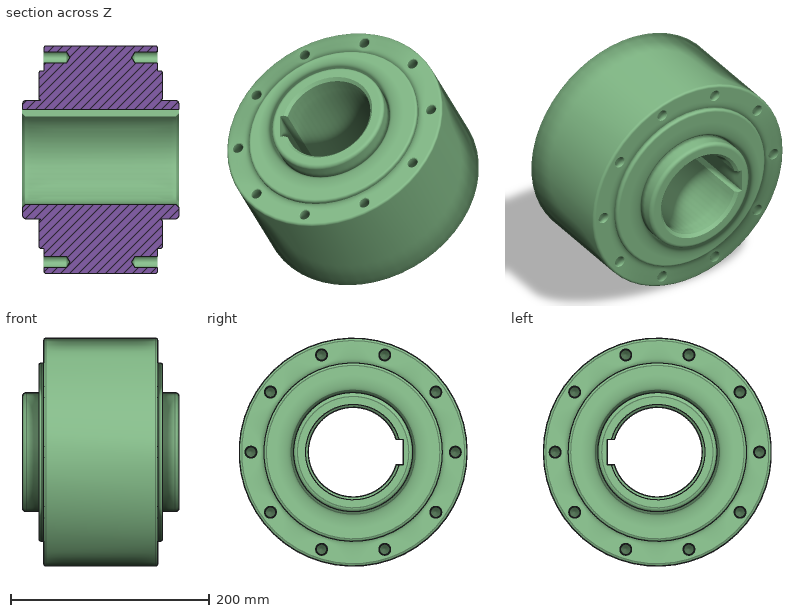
import cadquery as cq
import math

OUTER_RADIUS = 115.0
BODY_WIDTH = 115.0
COVER_RADIUS = 90.0
COVER_WIDTH = 125.0
HUB_RADIUS = 60.0
HUB_LENGTH = 158.0
RIM_FILLET = 2.5
HUB_FILLET = 4.0

RECESS_RADIUS = 2.5

BORE_RADIUS = 45.0
BORE_CHAMFER = 3.0
KEYWAY_WIDTH = 25.0
KEYWAY_REACH = 50.4

HOLE_COUNT = 10
HOLE_CIRCLE_RADIUS = 103.0
HOLE_RADIUS = 5.3
HOLE_CHAMFER = 0.7
HOLE_DEPTH = 23.0
DRILL_POINT_ANGLE = 118.0


def disc(radius, width, x_start):
    """Cylinder on the X axis, from x_start toward +X."""
    return cq.Workplane("YZ", origin=(x_start, 0, 0)).circle(radius).extrude(width)


def rounded_disc(radius, width, fillet):
    """Cylinder centred on the origin, with both rims rounded."""
    return disc(radius, width, -width / 2).edges("%CIRCLE").fillet(fillet)


def on_both_sides(solid):
    """The solid together with its mirror image across the YZ plane."""
    return solid.union(solid.mirror("YZ"))


def hub_recess():
    """Ring cut that rounds the +X cover face down into the hub, leaving a sharp crease."""
    face = COVER_WIDTH / 2
    arc_drop = RECESS_RADIUS * (1 - math.sqrt(0.5))
    section = (
        cq.Workplane("XY")
        .moveTo(face, HUB_RADIUS)
        .lineTo(face, HUB_RADIUS + RECESS_RADIUS)
        .threePointArc(
            (face - arc_drop, HUB_RADIUS + arc_drop),
            (face - RECESS_RADIUS, HUB_RADIUS),
        )
        .close()
    )
    return section.revolve(360, (0, 0, 0), (1, 0, 0))


def bore():
    """Through bore, chamfered at both ends."""
    through = disc(BORE_RADIUS, HUB_LENGTH, -HUB_LENGTH / 2)
    end = HUB_LENGTH / 2
    mouth = cq.Workplane("XY").polyline([
        (end - BORE_CHAMFER, 0),
        (end - BORE_CHAMFER, BORE_RADIUS),
        (end, BORE_RADIUS + BORE_CHAMFER),
        (end, 0),
    ]).close().revolve(360, (0, 0, 0), (1, 0, 0))
    return through.union(on_both_sides(mouth))


def keyway():
    """Rectangular slot along the whole bore, on its +Y side."""
    return cq.Workplane("XY").box(
        HUB_LENGTH, KEYWAY_REACH, KEYWAY_WIDTH, centered=(True, False, True)
    )


def drilled_hole():
    """Hole with a chamfered mouth and conical bottom, entering the +X body face on the +Y axis."""
    face = BODY_WIDTH / 2
    floor = face - HOLE_DEPTH
    tip = floor - HOLE_RADIUS / math.tan(math.radians(DRILL_POINT_ANGLE / 2))
    section = cq.Workplane("XY").polyline([
        (face, HOLE_CIRCLE_RADIUS),
        (face, HOLE_CIRCLE_RADIUS + HOLE_RADIUS + HOLE_CHAMFER),
        (face - HOLE_CHAMFER, HOLE_CIRCLE_RADIUS + HOLE_RADIUS),
        (floor, HOLE_CIRCLE_RADIUS + HOLE_RADIUS),
        (tip, HOLE_CIRCLE_RADIUS),
    ]).close()
    return section.revolve(360, (0, HOLE_CIRCLE_RADIUS, 0), (1, HOLE_CIRCLE_RADIUS, 0))


body = rounded_disc(OUTER_RADIUS, BODY_WIDTH, RIM_FILLET)
covers = rounded_disc(COVER_RADIUS, COVER_WIDTH, RIM_FILLET)
hub = rounded_disc(HUB_RADIUS, HUB_LENGTH, HUB_FILLET)

result = body.union(covers).cut(on_both_sides(hub_recess())).union(hub)
result = result.cut(bore()).cut(keyway())

for index in range(HOLE_COUNT):
    hole = drilled_hole().rotate((0, 0, 0), (1, 0, 0), index * 360 / HOLE_COUNT)
    result = result.cut(on_both_sides(hole))